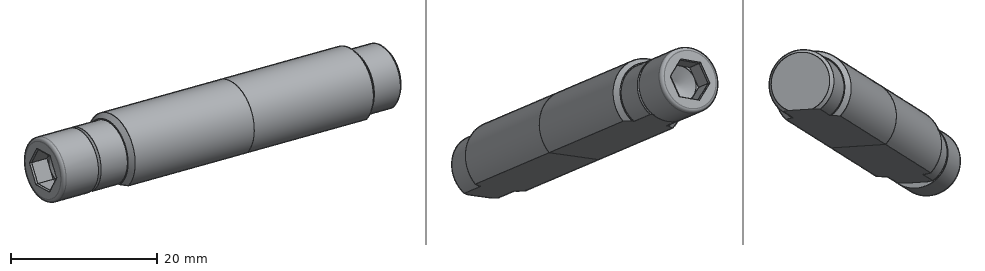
import cadquery as cq
import math

total_length = 58.0
barrel_diameter = 10.95
head_diameter = 9.2
rear_neck_diameter = 9.35
flat_depth = 3.8

head_length = 6.05
head_fillet = 0.5
socket_across_corners = 6.0
socket_mouth_across_corners = 6.2
socket_flare_depth = 0.3
socket_depth = 2.9
socket_drill_diameter = 5.15
drill_point_angle = 118.0
socket_turn = 2.0

front_neck_length = 4.95
rear_neck_length = 5.0
shoulder_chamfer = 0.7
neck_end_chamfer = 0.45

barrel_radius = barrel_diameter / 2
head_radius = head_diameter / 2
rear_neck_radius = rear_neck_diameter / 2
barrel_start = head_length + front_neck_length
barrel_end = total_length - rear_neck_length
seam = (barrel_start + barrel_end) / 2
sleeve_length = seam - head_length
rear_sleeve_length = total_length - seam
drill_radius = socket_drill_diameter / 2
drill_point_depth = drill_radius / math.tan(math.radians(drill_point_angle / 2))


def workplane_at(y):
    """Plane across the axis whose extrusions run toward +Y, with local y along +Z."""
    return cq.Workplane(cq.Plane(origin=(0, y, 0), xDir=(-1, 0, 0), normal=(0, 1, 0)))


def make_screw_head():
    """Round socket head with a hexagonal recess, flared at its mouth, and a drill point."""
    head = workplane_at(0).circle(head_radius).extrude(head_length)
    head = head.faces("<Y").edges().fillet(head_fillet)
    socket = workplane_at(0).polygon(6, socket_across_corners).extrude(socket_depth)
    flare = (
        workplane_at(0)
        .polygon(6, socket_mouth_across_corners)
        .workplane(offset=socket_flare_depth)
        .polygon(6, socket_across_corners)
        .loft(ruled=True)
    )
    socket = socket.union(flare).rotate((0, 0, 0), (0, 1, 0), socket_turn)
    drill_point = cq.Solid.makeCone(
        drill_radius, 0, drill_point_depth, cq.Vector(0, socket_depth, 0), cq.Vector(0, 1, 0)
    )
    return head.cut(socket).cut(cq.Workplane(drill_point))


def cut_underside_flat(sleeve):
    """Remove everything below the flat that runs the length of a sleeve."""
    removed = cq.Workplane().box(
        barrel_diameter, total_length, barrel_radius, centered=(True, False, False)
    )
    return sleeve.cut(removed.translate((0, 0, -flat_depth - barrel_radius)))


def make_sleeve(neck_start, neck_radius, neck_length, length):
    """Sleeve with its necked end at neck_start and its barrel running toward +Y."""
    neck = workplane_at(neck_start).circle(neck_radius).extrude(neck_length)
    neck = neck.faces("<Y").edges().chamfer(neck_end_chamfer)
    barrel = workplane_at(neck_start + neck_length).circle(barrel_radius)
    barrel = barrel.extrude(length - neck_length)
    barrel = barrel.faces("<Y").edges().chamfer(shoulder_chamfer)
    return cut_underside_flat(neck.union(barrel))


def make_front_sleeve():
    """Sleeve whose necked end bears on the screw head."""
    return make_sleeve(head_length, head_radius, front_neck_length, sleeve_length)


def make_rear_sleeve():
    """Sleeve facing the other way, with its necked end at the far end of the part."""
    sleeve = make_sleeve(0, rear_neck_radius, rear_neck_length, rear_sleeve_length)
    return sleeve.mirror("XZ").translate((0, total_length, 0))


screw_head = make_screw_head()
front_sleeve = make_front_sleeve()
rear_sleeve = make_rear_sleeve()

result = cq.Compound.makeCompound([screw_head.val(), front_sleeve.val(), rear_sleeve.val()])